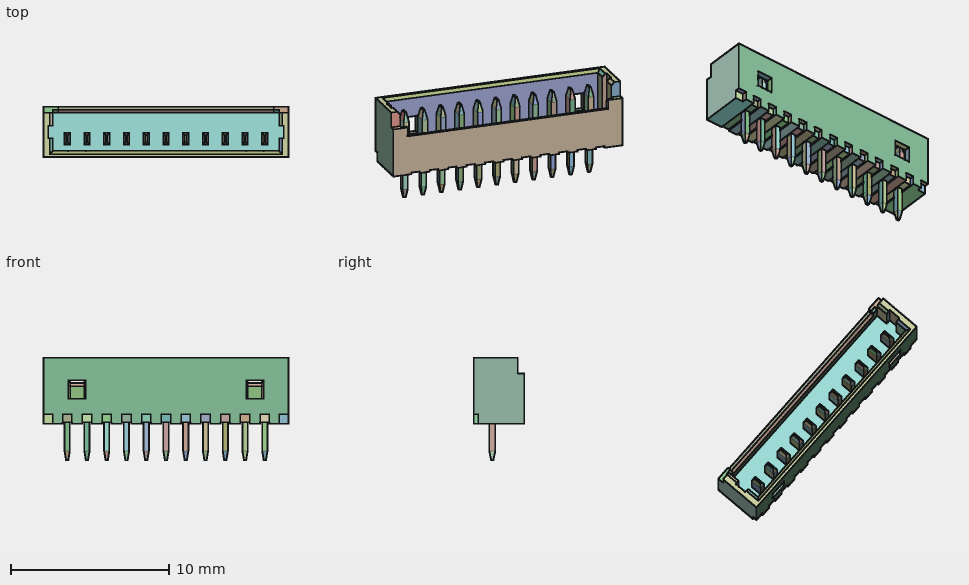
import cadquery as cq

length = 15.5
depth = 3.2
height = 4.2
wall = 0.4
end_wall = 0.6
floor_top = 1.25

shoulder_height = 3.2
back_wall_height = 2.6
shoulder_length = 0.95

lead_in_width = 0.2
lead_in_drop = 0.2

groove_front = 1.2
groove_width = 0.8
groove_wall = 0.3

pin_count = 11
pitch = 1.25
pin_y = 1.175
blade_width = 0.36
blade_depth = 0.75
blade_tip_width = 0.1
blade_tip_depth = 0.45
blade_shoulder_z = 2.9
blade_tip_z = 3.5
tail_width = 0.35
tail_depth = 0.4
tail_tip_size = 0.15
tail_shoulder_z = -1.7
tail_tip_z = -2.3

notch_width = 0.58
notch_height = 0.6
notch_depth = 0.3
channel_height = 0.1

window_width = 1.12
window_bottom = 1.6
window_top = 2.75

first_pin_x = (length - (pin_count - 1) * pitch) / 2
pin_xs = [first_pin_x + i * pitch for i in range(pin_count)]
cavity_back = depth - wall


def box(x0, x1, y0, y1, z0, z1):
    """Box given by its lower and upper limits on each axis."""
    return cq.Workplane("XY").box(x1 - x0, y1 - y0, z1 - z0, centered=False).translate((x0, y0, z0))


def taper(x, y, z0, size0, z1, size1):
    """Rectangular frustum centred on (x, y), from size0 at z0 to size1 at z1."""
    return (
        cq.Workplane("XY", origin=(x, y, z0))
        .rect(*size0)
        .workplane(offset=z1 - z0)
        .rect(*size1)
        .loft(combine=True)
    )


def prism_along_x(profile, x0, x1):
    """Extrude a closed (y, z) profile from x0 to x1."""
    return cq.Workplane("YZ", origin=(x0, 0, 0)).polyline(profile).close().extrude(x1 - x0)


def back_lead_in(x0, x1, wall_top):
    """Wedge that bevels the inner top edge of the back wall."""
    profile = [
        (cavity_back, wall_top),
        (cavity_back + lead_in_width, wall_top),
        (cavity_back, wall_top - lead_in_drop),
    ]
    return prism_along_x(profile, x0, x1)


def mouth_lead_in():
    """Bevel cutter for the top edges of the front wall and the two end walls."""
    wide_length = length - 2 * (end_wall - lead_in_width)
    narrow_length = length - 2 * end_wall
    cutter_depth = 2 * depth
    centre_y = wall + cutter_depth / 2
    return taper(
        length / 2, centre_y,
        height - lead_in_drop, (narrow_length, cutter_depth),
        height, (wide_length, cutter_depth + 2 * lead_in_width),
    )


def make_shell():
    shell = box(0, length, 0, depth, 0, height)
    shell = shell.cut(box(end_wall, length - end_wall, wall, cavity_back, floor_top, height))
    shell = shell.cut(mouth_lead_in())
    shell = shell.cut(box(0, length, cavity_back, depth, shoulder_height, height))
    shell = shell.cut(
        box(shoulder_length, length - shoulder_length, cavity_back, depth, back_wall_height, height)
    )
    shell = shell.cut(back_lead_in(end_wall, length - end_wall, shoulder_height))
    return shell.cut(back_lead_in(shoulder_length, length - shoulder_length, back_wall_height))


def cut_keying_grooves(body):
    return body.cut(
        box(groove_wall, length - groove_wall, groove_front, groove_front + groove_width, floor_top, height)
    )


def cut_windows(body):
    """One window midway between the first two pins and one between the last two."""
    for x in (pin_xs[0] + pitch / 2, pin_xs[-1] - pitch / 2):
        body = body.cut(
            box(x - window_width / 2, x + window_width / 2, 0, wall, window_bottom, window_top)
        )
    return body


def cut_underside(body):
    for x in pin_xs:
        left = x - notch_width / 2
        right = x + notch_width / 2
        body = body.cut(box(left, right, 0, notch_depth, 0, notch_height))
        body = body.cut(box(left, right, 0, depth, 0, channel_height))
    for left in (0, length - notch_width):
        body = body.cut(box(left, left + notch_width, 0, notch_depth, 0, notch_height))
    return body


def make_pin(x):
    """Flat blade above the floor and a narrower solder tail below, both with tapered ends."""
    blade_size = (blade_width, blade_depth)
    tail_size = (tail_width, tail_depth)
    blade = taper(x, pin_y, floor_top, blade_size, blade_shoulder_z, blade_size)
    blade_tip = taper(
        x, pin_y, blade_shoulder_z, blade_size, blade_tip_z, (blade_tip_width, blade_tip_depth)
    )
    tail = taper(x, pin_y, tail_shoulder_z, tail_size, floor_top, tail_size)
    tail_tip = taper(
        x, pin_y, tail_shoulder_z, tail_size, tail_tip_z, (tail_tip_size, tail_tip_size)
    )
    return blade.union(blade_tip).union(tail).union(tail_tip)


result = cut_underside(cut_windows(cut_keying_grooves(make_shell())))
for pin_x in pin_xs:
    result = result.union(make_pin(pin_x))